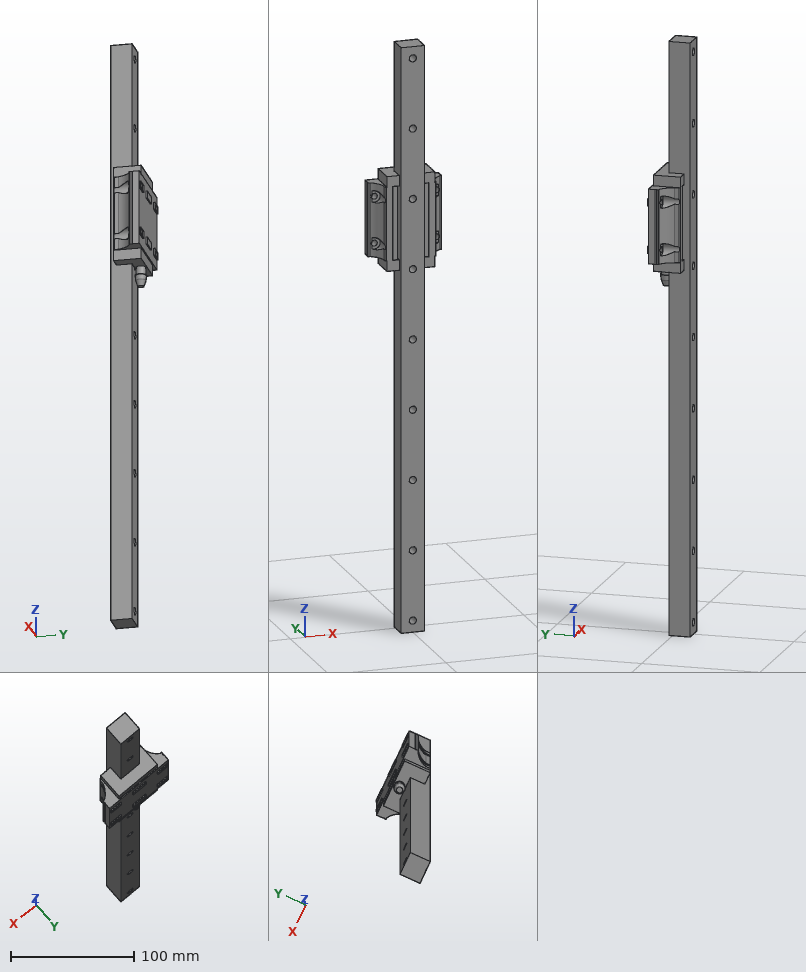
import cadquery as cq


rail_length = 500.0
rail_width = 20.0
rail_height = 18.0
rail_bottom_y = -15.0
rail_top_y = rail_bottom_y + rail_height
rail_hole_diameter = 6.0
rail_hole_pitch = 60.0
rail_hole_count = 9

carriage_z = 99.0
overall_height = 30.0
pad_height = 1.0
pad_top_y = rail_bottom_y + overall_height
core_length = 63.0
core_top_y = pad_top_y - pad_height
core_width = 44.0
core_bottom_y = -10.0
core_bottom_chamfer = 1.0
core_slot_clearance = 1.0
flange_width = 63.0
flange_thickness = 8.5
flange_bottom_y = core_top_y - flange_thickness

flank_ledge = 1.5
flank_foot_y = -5.5
flank_hollow = 1.0

edge_groove_width = 1.5
edge_groove_depth = 0.25
edge_groove_rise = 1.5

lip_rebate_x = 15.5
lip_rebate_depth = 1.0

mount_pitch_x = 53.0
mount_pitch_z = 40.0
mount_hole_diameter = 5.0
spotface_diameter = 10.0
spotface_y = 4.5

pad_width = 14.0
pad_length = 6.0
pad_edge_margin = 1.0

cap_length = 9.0
cap_width = 41.0
cap_top_y = 13.0

nipple_y = 8.0
nipple_top_z = carriage_z - core_length / 2 - cap_length
nipple_stem_radius = 4.0
nipple_stem_length = 7.0
nipple_head_radius = 4.75
nipple_neck_radius = 4.25
nipple_neck_depth = 11.5
nipple_tip_radius = 2.5
nipple_length = 16.5


def block(width, y_low, y_high, length, x=0.0, z=0.0):
    """Box of the given width and length centred on x and z, from y_low to y_high."""
    return cq.Workplane("XY").box(width, y_high - y_low, length).translate((x, (y_low + y_high) / 2, z))


def hole_along_y(x, z, diameter, y_low, y_high):
    """Round cutter along Y."""
    start = cq.Vector(x, y_low, z)
    return cq.Workplane(cq.Solid.makeCylinder(diameter / 2, y_high - y_low, start, cq.Vector(0, 1, 0)))


def make_rail():
    rail = block(rail_width, rail_bottom_y, rail_top_y, rail_length)
    first_hole_z = -rail_hole_pitch * (rail_hole_count - 1) / 2
    for i in range(rail_hole_count):
        hole_z = first_hole_z + i * rail_hole_pitch
        rail = rail.cut(hole_along_y(0, hole_z, rail_hole_diameter, rail_bottom_y, rail_top_y))
    return rail


def make_core():
    """Extruded half section, mirrored about X = 0."""
    flange_x = flange_width / 2
    ledge_x = flange_x - flank_ledge
    side_x = core_width / 2
    slot_x = rail_width / 2 + core_slot_clearance
    slot_top_y = rail_top_y + core_slot_clearance
    groove_x = flange_x - edge_groove_depth
    groove_low_y = flange_bottom_y + edge_groove_rise
    groove_high_y = groove_low_y + edge_groove_width
    rebate_y = core_bottom_y + lip_rebate_depth
    flank_middle = (
        (ledge_x + side_x) / 2 - flank_hollow,
        (flange_bottom_y + flank_foot_y) / 2 + flank_hollow,
    )
    half = (
        cq.Workplane("XY")
        .moveTo(0, core_top_y)
        .lineTo(flange_x, core_top_y)
        .lineTo(flange_x, groove_high_y)
        .lineTo(groove_x, groove_high_y)
        .lineTo(groove_x, groove_low_y)
        .lineTo(flange_x, groove_low_y)
        .lineTo(flange_x, flange_bottom_y)
        .lineTo(ledge_x, flange_bottom_y)
        .threePointArc(flank_middle, (side_x, flank_foot_y))
        .lineTo(side_x, core_bottom_y + core_bottom_chamfer)
        .lineTo(side_x - core_bottom_chamfer, core_bottom_y)
        .lineTo(lip_rebate_x, core_bottom_y)
        .lineTo(lip_rebate_x, rebate_y)
        .lineTo(slot_x, rebate_y)
        .lineTo(slot_x, slot_top_y)
        .lineTo(0, slot_top_y)
        .close()
        .extrude(core_length / 2, both=True)
        .translate((0, 0, carriage_z))
    )
    return half.union(half.mirror("YZ"))


def make_pad(x, z):
    """Raised pad, trimmed just inside the flange edges."""
    pad = block(pad_width, core_top_y, pad_top_y, pad_length, x, z)
    trim_width = flange_width - 2 * pad_edge_margin
    return pad.intersect(block(trim_width, core_top_y, pad_top_y, pad_length, z=z))


def make_cap(z):
    cap = block(cap_width, core_bottom_y, cap_top_y, cap_length, z=z)
    return cap.cut(block(rail_width, core_bottom_y, rail_top_y, cap_length, z=z))


def make_carriage():
    carriage = make_core()

    mount_x = mount_pitch_x / 2
    for z in (carriage_z - mount_pitch_z / 2, carriage_z + mount_pitch_z / 2):
        for x in (-mount_x, 0, mount_x):
            carriage = carriage.union(make_pad(x, z))
        for x in (-mount_x, mount_x):
            carriage = carriage.cut(hole_along_y(x, z, spotface_diameter, core_bottom_y, spotface_y))
            carriage = carriage.cut(hole_along_y(x, z, mount_hole_diameter, core_bottom_y, pad_top_y))

    cap_offset = (core_length + cap_length) / 2
    for z in (carriage_z - cap_offset, carriage_z + cap_offset):
        carriage = carriage.union(make_cap(z))
    return carriage


def make_nipple():
    """Stem and tapered head turned about an axis along Z, pointing down from the lower end cap."""
    return (
        cq.Workplane("XZ")
        .lineTo(nipple_stem_radius, 0)
        .lineTo(nipple_stem_radius, -nipple_stem_length)
        .lineTo(nipple_head_radius, -nipple_stem_length)
        .lineTo(nipple_neck_radius, -nipple_neck_depth)
        .lineTo(nipple_tip_radius, -nipple_length)
        .lineTo(0, -nipple_length)
        .close()
        .revolve(360, (0, 0, 0), (0, 1, 0))
        .translate((0, nipple_y, nipple_top_z))
    )


rail = make_rail()
carriage = make_carriage()
nipple = make_nipple()


result = cq.Compound.makeCompound([rail.solids().val(), carriage.solids().val(), nipple.solids().val()])